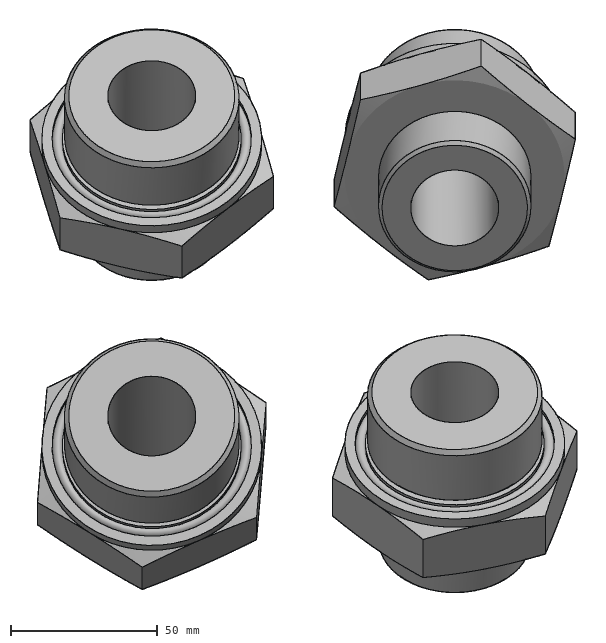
import cadquery as cq
import math

hex_across_flats = 75.0
hex_across_corners = hex_across_flats / math.cos(math.radians(30))
hex_height = 21.1
hex_chamfer_angle = math.radians(15)

flange_diameter = hex_across_flats
flange_height = 3.9

seal_inner_diameter = 61.0
seal_outer_diameter = 68.0

upper_diameter = 59.61
upper_length = 24.0
upper_chamfer = 1.5
lower_diameter = 52.0
lower_length = 22.0
lower_chamfer = 1.2

bore_diameter = 30.0

hex_bottom = lower_length
hex_top = hex_bottom + hex_height
flange_top = hex_top + flange_height
total_height = flange_top + upper_length


def make_cylinder(diameter, bottom, height):
    """Upright cylinder on the part axis."""
    return cq.Workplane("XY").workplane(offset=bottom).circle(diameter / 2).extrude(height)


def make_hexagon():
    """Hexagon with two corners on the Y axis, its corners turned off conically at both ends."""
    prism = (
        cq.Workplane("XY")
        .workplane(offset=hex_bottom)
        .polygon(6, hex_across_corners)
        .extrude(hex_height)
        .rotate((0, 0, 0), (0, 0, 1), 90)
    )
    flat_radius = hex_across_flats / 2
    corner_radius = hex_across_corners / 2
    corner_drop = (corner_radius - flat_radius) * math.tan(hex_chamfer_angle)
    envelope = (
        cq.Workplane("XZ")
        .moveTo(0, hex_bottom)
        .lineTo(flat_radius, hex_bottom)
        .lineTo(corner_radius, hex_bottom + corner_drop)
        .lineTo(corner_radius, hex_top - corner_drop)
        .lineTo(flat_radius, hex_top)
        .lineTo(0, hex_top)
        .close()
        .revolve(360, (0, 0), (0, 1))
    )
    return prism.intersect(envelope)


def make_round_end(diameter, bottom, length, chamfer):
    """Cylindrical end, chamfered at both its tip and its root."""
    return make_cylinder(diameter, bottom, length).faces("|Z").edges().chamfer(chamfer)


def make_seal_recess():
    """Space around the exposed upper half of the seal ring, below the flange face."""
    inner_radius = seal_inner_diameter / 2
    section_radius = (seal_outer_diameter - seal_inner_diameter) / 4
    ring_radius = inner_radius + section_radius
    ring_level = flange_top - section_radius
    groove = make_cylinder(seal_outer_diameter, ring_level, section_radius).cut(
        make_cylinder(seal_inner_diameter, ring_level, section_radius)
    )
    seal_ring = (
        cq.Workplane("XZ")
        .moveTo(ring_radius, ring_level)
        .circle(section_radius)
        .revolve(360, (0, 0), (0, 1))
    )
    return groove.cut(seal_ring)


hexagon = make_hexagon()
flange = make_cylinder(flange_diameter, hex_top, flange_height)
lower_end = make_round_end(lower_diameter, 0, lower_length, lower_chamfer)
upper_end = make_round_end(upper_diameter, flange_top, upper_length, upper_chamfer)
bore = make_cylinder(bore_diameter, 0, total_height)

body = hexagon.union(flange).union(lower_end).union(upper_end)
result = body.cut(make_seal_recess()).cut(bore)